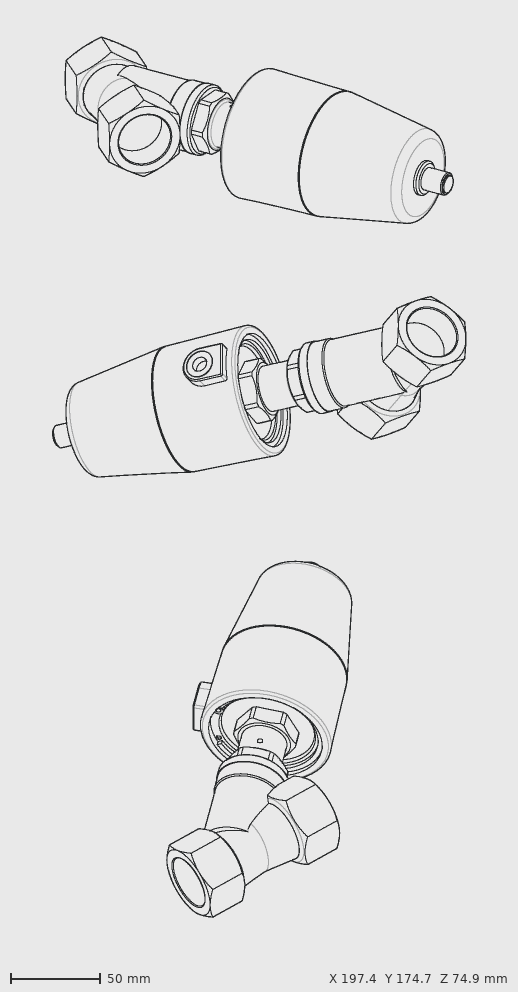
import cadquery as cq
import math

run_length = 90.0
hex_flats = 41.0
hex_corner_radius = hex_flats / math.sqrt(3)
hex_shoulder = 24.5
hex_shoulder_radius = 20.0
neck_start = 25.9
neck_half_height = 17.5
neck_half_width = 17.4
waist_half_height = 17.5
waist_half_width = 14.5
bore_diameter = 30.2
bore_mouth_chamfer = 0.5
bore_depth = 18.5
drill_point_angle = 118.0

axis_angle = 42.0
axis_foot_x = 30.2

branch_start = 6.3
branch_radius = 19.2
collar_start = 45.2
collar_chamfer = 0.8
collar_radius = 20.0
collar_top = 55.0

bonnet_flange_radius = 20.3
bonnet_flange_top = 61.2
bonnet_flange_chamfer = 1.2
wrench_flats = 32.0
wrench_corner_radius = 17.8
chamfer_slope = math.tan(math.radians(30))
bonnet_top = 70.1
bonnet_face_diameter = 30.0
neck_tube_diameter = 26.0
neck_tube_fillet = 1.2
vent_station = 77.6
vent_diameter = 3.0
vent_depth = 4.0
locknut_bottom = 88.9
locknut_face_diameter = 30.2
locknut_turn = 4.0

housing_bottom = 92.2
housing_radius = 37.5
housing_edge_fillet = 1.4
recess_radius = 32.49
ledge_station = 94.8
ring_radius = 29.6
ring_station = 97.2
floor_cone_radius = 27.6
floor_radius = 26.7
recess_floor = 99.0
window_half_angle = 30.0
joint_station = 143.5
joint_radius = 36.1
joint_groove = 0.4
cap_top = 203.0
cap_top_radius = 26.7
cap_edge_fillet = 5.0

boss_circle_radius = 30.5
boss_angle = 24.8
boss_diameter = 6.0
boss_hole_diameter = 3.0
boss_top = 95.2
boss_hole_depth = 3.0

port_station = 111.2
port_height = 42.7
port_end_station = 97.2
port_half_width = 10.5
port_corner_fillet = 1.2
port_face_chamfer = 0.8
port_spot_diameter = 16.0
port_spot_depth = 0.4
port_hole_diameter = 8.7
port_hole_depth = 5.5

flange_diameter = 20.0
flange_top = 205.8
flange_chamfer = 1.2
stem_diameter = 13.0
stem_top = 219.2
stem_chamfer = 0.5
tip_diameter = 10.0
tip_top = 220.0


def along_axis(shape):
    """Move a shape built along +Z onto the inclined axis; its local X points to the port side."""
    shape = shape.rotate((0, 0, 0), (0, 0, 1), 90)
    shape = shape.rotate((0, 0, 0), (0, 1, 0), 90)
    shape = shape.rotate((0, 0, 0), (0, 0, 1), axis_angle)
    return shape.translate((axis_foot_x, 0, 0))


def cylinder(radius, bottom, top):
    return cq.Workplane("XY").workplane(offset=bottom).circle(radius).extrude(top - bottom)


def turned(points):
    """Solid of revolution about Z from (radius, station) points."""
    return cq.Workplane("XZ").polyline(points).close().revolve(360, (0, 0, 0), (0, 1, 0))


def wrench_hex(bottom, top):
    """Hexagon with its corners turned down; two flats face local +Y and -Y."""
    across_corners = 2 * wrench_flats / math.sqrt(3)
    hexagon = cq.Workplane("XY").workplane(offset=bottom).polygon(6, across_corners).extrude(top - bottom)
    return hexagon.intersect(cylinder(wrench_corner_radius, bottom, top))


def pipe_end():
    """Hexagonal end at the inlet, with its neck down to the waist and no bore."""
    flat_radius = hex_flats / 2
    end_chamfer = (hex_corner_radius - flat_radius) * chamfer_slope
    shoulder_chamfer = (hex_corner_radius - hex_shoulder_radius) * chamfer_slope
    hexagon = cq.Workplane("YZ").polygon(6, 2 * hex_corner_radius).extrude(neck_start)
    hexagon = hexagon.rotate((0, 0, 0), (1, 0, 0), 90)
    blank = (
        cq.Workplane("XY")
        .lineTo(0, flat_radius)
        .lineTo(end_chamfer, hex_corner_radius)
        .lineTo(hex_shoulder - shoulder_chamfer, hex_corner_radius)
        .lineTo(hex_shoulder, hex_shoulder_radius)
        .tangentArcPoint((neck_start, neck_half_height), relative=False)
        .lineTo(neck_start, 0)
        .close()
        .revolve(360, (0, 0, 0), (1, 0, 0))
    )
    waist = (
        cq.Workplane("YZ")
        .workplane(offset=neck_start)
        .ellipse(neck_half_width, neck_half_height)
        .workplane(offset=run_length / 2 - neck_start)
        .ellipse(waist_half_width, waist_half_height)
        .loft()
        .rotate((0, 0, 0), (1, 0, 0), 180)
    )
    return hexagon.intersect(blank).union(waist)


def pipe_bore():
    """Blind bore at the inlet with a drill-point bottom and a mouth chamfer."""
    radius = bore_diameter / 2
    point_length = radius / math.tan(math.radians(drill_point_angle / 2))
    return (
        cq.Workplane("XY")
        .polyline(
            [
                (0, 0),
                (0, radius + bore_mouth_chamfer),
                (bore_mouth_chamfer, radius),
                (bore_depth, radius),
                (bore_depth + point_length, 0),
            ]
        )
        .close()
        .revolve(360, (0, 0, 0), (1, 0, 0))
    )


def at_outlet(shape):
    return shape.mirror("YZ", (run_length / 2, 0, 0))


def make_valve_body():
    branch = turned(
        [
            (0, branch_start),
            (branch_radius, branch_start),
            (branch_radius, collar_start),
            (collar_radius, collar_start + collar_chamfer),
            (collar_radius, collar_top),
            (0, collar_top),
        ]
    )
    inlet = pipe_end()
    body = inlet.union(at_outlet(inlet)).union(along_axis(branch))
    return body.cut(pipe_bore()).cut(at_outlet(pipe_bore()))


def chamfered_hex(bottom, top, face_diameter):
    """Wrench hexagon whose top edge is turned down to a round face."""
    face_radius = face_diameter / 2
    chamfer = (wrench_corner_radius - face_radius) * chamfer_slope
    blank = turned(
        [
            (0, bottom),
            (wrench_corner_radius, bottom),
            (wrench_corner_radius, top - chamfer),
            (face_radius, top),
            (0, top),
        ]
    )
    return wrench_hex(bottom, top).intersect(blank)


def make_bonnet():
    flange = cylinder(bonnet_flange_radius, collar_top, bonnet_flange_top)
    flange = flange.faces(">Z").chamfer(bonnet_flange_chamfer)
    hexagon = chamfered_hex(bonnet_flange_top, bonnet_top, bonnet_face_diameter)
    tube_radius = neck_tube_diameter / 2
    tube = (
        cq.Workplane("XZ")
        .moveTo(0, bonnet_top)
        .lineTo(tube_radius + neck_tube_fillet, bonnet_top)
        .radiusArc((tube_radius, bonnet_top + neck_tube_fillet), neck_tube_fillet)
        .lineTo(tube_radius, recess_floor)
        .lineTo(0, recess_floor)
        .close()
        .revolve(360, (0, 0, 0), (0, 1, 0))
    )
    vent = (
        cq.Workplane("XZ")
        .center(0, vent_station)
        .circle(vent_diameter / 2)
        .extrude(vent_depth)
        .translate((0, tube_radius, 0))
    )
    return along_axis(flange.union(hexagon).union(tube).cut(vent))


def make_locknut():
    height = recess_floor - locknut_bottom
    nut = chamfered_hex(0, height, locknut_face_diameter)
    nut = nut.cut(cylinder(neck_tube_diameter / 2, 0, height))
    nut = nut.rotate((0, 0, 0), (1, 0, 0), 180).translate((0, 0, recess_floor))
    return along_axis(nut.rotate((0, 0, 0), (0, 0, 1), locknut_turn))


def port_block():
    block = (
        cq.Workplane("YZ")
        .moveTo(-port_half_width, port_end_station)
        .lineTo(port_half_width, port_end_station)
        .lineTo(port_half_width, port_station)
        .threePointArc((0, port_station + port_half_width), (-port_half_width, port_station))
        .close()
        .extrude(port_height)
    )
    block = block.edges("|X").edges("<Z").fillet(port_corner_fillet)
    return block.faces(">X").chamfer(port_face_chamfer)


def port_drilling():
    def drilling(diameter, depth):
        return (
            cq.Workplane("YZ")
            .workplane(offset=port_height - depth)
            .center(0, port_station)
            .circle(diameter / 2)
            .extrude(depth)
        )

    return drilling(port_spot_diameter, port_spot_depth).union(drilling(port_hole_diameter, port_hole_depth))


def at_screw_bosses(bottom, top, diameter):
    """A pair of cylinders on the two screw boss axes."""
    pair = cq.Workplane("XY")
    for side in (-1, 1):
        angle = math.radians(side * boss_angle)
        place = (boss_circle_radius * math.cos(angle), boss_circle_radius * math.sin(angle), 0)
        pair = pair.add(cylinder(diameter / 2, bottom, top).translate(place))
    return pair.combine()


def recess():
    """Stepped recess in the underside, with a window in the ledge and two screw bosses left standing."""
    steps = turned(
        [
            (0, housing_bottom),
            (recess_radius, housing_bottom),
            (recess_radius, ledge_station),
            (ring_radius, ledge_station),
            (ring_radius, ring_station),
            (floor_cone_radius, ring_station),
            (floor_radius, recess_floor),
            (0, recess_floor),
        ]
    )
    window = (
        cq.Workplane("XZ")
        .moveTo(0, ledge_station)
        .lineTo(recess_radius, ledge_station)
        .lineTo(recess_radius, ring_station)
        .lineTo(0, ring_station)
        .close()
        .revolve(2 * window_half_angle, (0, 0, 0), (0, 1, 0))
        .rotate((0, 0, 0), (0, 0, 1), -window_half_angle)
    )
    return steps.union(window).cut(at_screw_bosses(boss_top, recess_floor, boss_diameter))


def make_housing():
    shell = turned(
        [
            (0, housing_bottom),
            (housing_radius, housing_bottom),
            (joint_radius, joint_station - joint_groove),
            (joint_radius - joint_groove, joint_station),
            (0, joint_station),
        ]
    )
    shell = shell.edges("<Z").fillet(housing_edge_fillet)
    housing = shell.union(port_block()).cut(port_drilling()).cut(recess())
    screw_holes = at_screw_bosses(boss_top, boss_top + boss_hole_depth, boss_hole_diameter)
    return along_axis(housing.cut(screw_holes))


def make_cap():
    cap = turned(
        [
            (0, joint_station),
            (joint_radius - joint_groove, joint_station),
            (joint_radius, joint_station + joint_groove),
            (cap_top_radius, cap_top),
            (0, cap_top),
        ]
    )
    return along_axis(cap.edges(">Z").fillet(cap_edge_fillet))


def make_indicator():
    flange = cylinder(flange_diameter / 2, cap_top, flange_top).faces(">Z").chamfer(flange_chamfer)
    stem = cylinder(stem_diameter / 2, cap_top, stem_top).faces(">Z").chamfer(stem_chamfer)
    tip = cylinder(tip_diameter / 2, stem_top, tip_top)
    return along_axis(flange.union(stem).union(tip))


valve_body = make_valve_body()
bonnet = make_bonnet()
locknut = make_locknut()
housing = make_housing()
cap = make_cap()
indicator = make_indicator()

result = cq.Compound.makeCompound(
    [valve_body.val(), bonnet.val(), locknut.val(), housing.val(), cap.val(), indicator.val()]
)